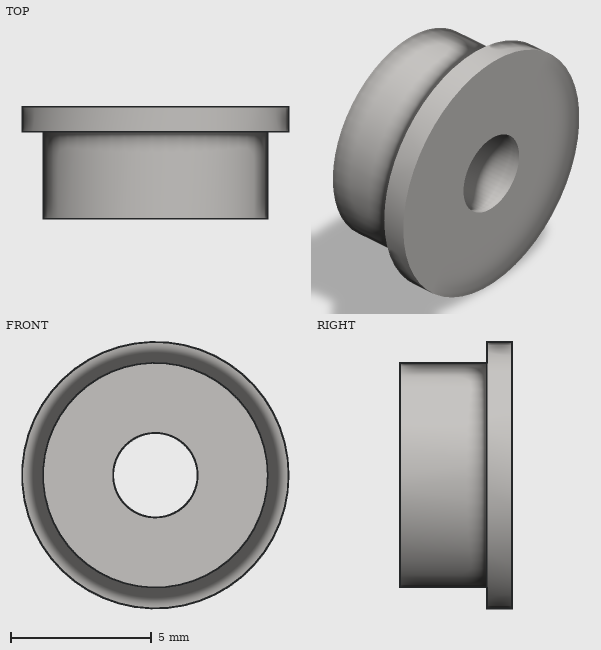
import cadquery as cq

flange_diameter = 9.5
body_diameter = 8.0
bore_diameter = 3.0
total_length = 4.0
flange_thickness = 0.9


def cylinder_along_y(diameter, length):
    """Cylinder from the front face (Y = 0) toward +Y."""
    return cq.Workplane("XZ").circle(diameter / 2).extrude(-length)


body = cylinder_along_y(body_diameter, total_length)
flange = cylinder_along_y(flange_diameter, flange_thickness).translate(
    (0, total_length - flange_thickness, 0)
)
bore = cylinder_along_y(bore_diameter, total_length)

result = body.union(flange).cut(bore)